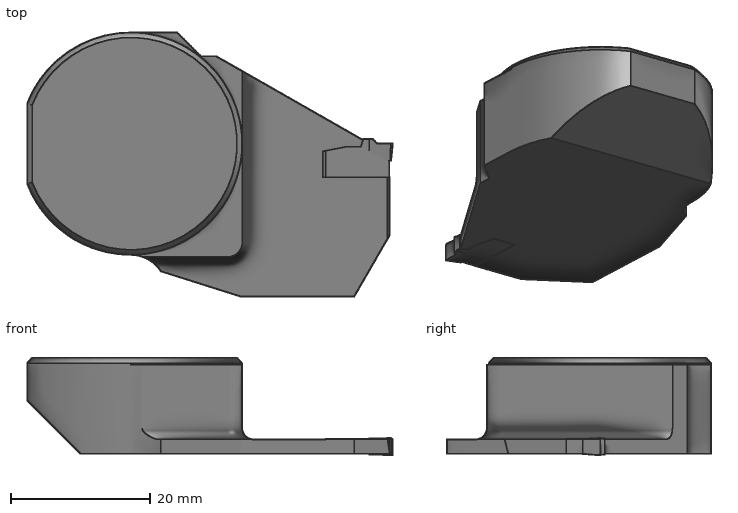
import cadquery as cq
import math


boss_radius = 16.0
holder_height = 13.85
rim_chamfer_width = 0.75
rim_chamfer_height = 0.8
flat_x = -14.95
relief_size = 7.7

block_height = 12.85
block_front_y = -16.25
block_corner_radius = 2.0
root_fillet_radius = 1.6

blade_thickness = 2.1
blade_end_x = 37.2
blade_end_lean = 0.3
blade_front_y = -22.0
end_corner_angle = 60
back_slope_angle = 29.7
blade_front_left_x = 15.8
blade_front_right_x = 32.1
end_corner_run = blade_end_x - blade_front_right_x
blade_end_corner_y = blade_front_y + end_corner_run * math.tan(math.radians(end_corner_angle))
neck_x = 4.3
neck_y = -18.35
shoulder_x = 6.65
step_y = 12.55
step_x = shoulder_x + boss_radius - step_y
slope_start_x = 12.25
slope_end_y = step_y - (blade_end_x - slope_start_x) * math.tan(math.radians(back_slope_angle))

insert_rise = 0.05
tip_rise = 0.2
insert_back_x = 27.55
insert_front_y = -4.85
insert_end_x = 37.15
back_bevel_width = 0.4
back_bevel_depth = 0.4
insert_back_y = -1.1
waist_x = 30.75
waist_y = -0.45
nub_root_x = 33.05
nub_left_x = 33.4
overall_length = 52.6
tip_x = overall_length + flat_x
tip_y = 0.05
nub_y = 0.7
tip_back_x = 34.25
rake_start_y = -0.95
rake_end_x = 37.05
edge_end_x = 37.4
edge_end_y = -2.45
land_width = 0.35
land_drop = 0.2
nub_right_x = 34.75
nub_foot_x = 35.35


def rim_boss():
    """Chamfered cylinder, cut flat on its -X side."""
    profile = [
        (0, 0),
        (boss_radius, 0),
        (boss_radius, holder_height - rim_chamfer_height),
        (boss_radius - rim_chamfer_width, holder_height),
        (0, holder_height),
    ]
    boss = cq.Workplane("XZ").polyline(profile).close().revolve(360, (0, 0), (0, 1))
    cut_size = 2 * boss_radius
    flat_cut = cq.Workplane("XY").box(cut_size, cut_size, holder_height, centered=(True, True, False))
    boss = boss.cut(flat_cut.translate((flat_x - cut_size / 2, 0, 0)))
    rim_edge = cq.Workplane("XZ", origin=(0, boss_radius, 0)).polyline([
        (flat_x, holder_height - rim_chamfer_height),
        (flat_x, holder_height),
        (flat_x + rim_chamfer_width, holder_height),
    ]).close().extrude(cut_size)
    return boss.cut(rim_edge)


def holder_plan(height):
    """Plan outline to the right of the boss axis, extruded up from the underside."""
    drop = -boss_radius - neck_y
    neck_radius = (neck_x**2 + drop**2) / (2 * drop)
    half_sweep = math.asin(neck_x / neck_radius) / 2
    arc_middle = (
        neck_radius * math.sin(half_sweep),
        -boss_radius - neck_radius * (1 - math.cos(half_sweep)),
    )
    return (
        cq.Workplane("XY")
        .moveTo(0, -boss_radius)
        .threePointArc(arc_middle, (neck_x, neck_y))
        .lineTo(blade_front_left_x, blade_front_y)
        .lineTo(blade_front_right_x, blade_front_y)
        .lineTo(blade_end_x, blade_end_corner_y)
        .lineTo(blade_end_x, slope_end_y)
        .lineTo(slope_start_x, step_y)
        .lineTo(step_x, step_y)
        .lineTo(shoulder_x, boss_radius)
        .lineTo(0, boss_radius)
        .close()
        .extrude(height)
    )


def block_and_blade():
    """Tall block and thin blade joined by a root fillet, trimmed to the plan outline."""
    blade_top = cq.Workplane("XY", origin=(0, 0, blade_thickness))
    stock_size = 4 * blade_end_x
    blade = cq.Workplane("XY").rect(stock_size, stock_size).extrude(blade_thickness)
    block_length = 2 * boss_radius
    block = blade_top.box(
        block_length, block_length - block_front_y, block_height - blade_thickness, centered=False
    ).translate((boss_radius - block_length, block_front_y, 0))
    block = block.edges("|Z and >X and <Y").fillet(block_corner_radius)
    root_band = cq.selectors.BoxSelector(
        (-block_length, -block_length, blade_thickness / 2),
        (block_length, block_length, blade_thickness + root_fillet_radius),
    )
    joined = blade.union(block).edges(root_band).fillet(root_fillet_radius)
    return joined.intersect(holder_plan(block_height))


def make_holder():
    """Boss, block and blade as one body, with the insert seat cut through."""
    holder = block_and_blade().union(rim_boss())
    relief = cq.Workplane("XZ", origin=(0, boss_radius, 0)).polyline([
        (flat_x, 0),
        (flat_x, relief_size),
        (flat_x + relief_size, 0),
    ]).close().extrude(2 * boss_radius)
    end_lean = cq.Workplane("XZ", origin=(0, nub_y, 0)).polyline([
        (blade_end_x, 0),
        (blade_end_x - blade_end_lean, blade_thickness),
        (blade_end_x, blade_thickness),
    ]).close().extrude(nub_y - blade_front_y)
    seat = cq.Workplane("XY").polyline(insert_outline(tip_x)).close().extrude(blade_thickness)
    return holder.cut(relief).cut(end_lean).cut(seat)


def insert_outline(end_x):
    """Plan of the insert body, reaching to end_x on the +X side."""
    return [
        (insert_back_x, insert_front_y),
        (insert_back_x, insert_back_y),
        (waist_x, waist_y),
        (nub_root_x, waist_y),
        (nub_left_x, nub_y),
        (nub_right_x, nub_y),
        (nub_foot_x, tip_y),
        (end_x, tip_y),
        (end_x, insert_front_y),
    ]


def rake_wedge():
    """Bar along the rake line, widening from the body faces to the tip corner above and below."""
    along_x = rake_end_x - tip_back_x
    along_y = edge_end_y - rake_start_y
    rake_length = math.hypot(along_x, along_y)
    rise_run = (along_x * (tip_y - rake_start_y) - along_y * (tip_x - tip_back_x)) / rake_length
    plane = cq.Plane(
        origin=(tip_back_x - along_x, rake_start_y - along_y, 0),
        xDir=(-along_y, along_x, 0),
        normal=(along_x, along_y, 0),
    )
    return cq.Workplane(plane).polyline([
        (0, blade_thickness + insert_rise),
        (rise_run, blade_thickness + tip_rise),
        (rise_run, -tip_rise),
        (0, 0),
    ]).close().extrude(3 * rake_length)


def land_bevel():
    """Sliver removed from the top of the tip, parallel to its end face."""
    along_x = edge_end_x - tip_x
    along_y = edge_end_y - tip_y
    edge_length = math.hypot(along_x, along_y)
    plane = cq.Plane(
        origin=(tip_x - along_x, tip_y - along_y, blade_thickness + tip_rise),
        xDir=(along_y, -along_x, 0),
        normal=(-along_x, -along_y, 0),
    )
    bevel = cq.Workplane(plane).polyline([
        (0, -land_drop),
        (land_width, 0),
        (0, tip_rise),
    ]).close()
    return bevel.extrude(-3 * edge_length)


def make_insert():
    """Insert body with a bevelled back end and a raised cutting tip."""
    body = (
        cq.Workplane("XY")
        .polyline(insert_outline(insert_end_x))
        .close()
        .extrude(blade_thickness + insert_rise)
    )
    body_top = blade_thickness + insert_rise
    bevel = cq.Workplane("XZ", origin=(0, nub_y, 0)).polyline([
        (insert_back_x, body_top - back_bevel_depth),
        (insert_back_x, body_top),
        (insert_back_x + back_bevel_width, body_top),
    ]).close().extrude(nub_y - insert_front_y)
    tip = (
        cq.Workplane("XY", origin=(0, 0, -tip_rise))
        .polyline([
            (tip_back_x, nub_y),
            (nub_right_x, nub_y),
            (nub_foot_x, tip_y),
            (tip_x, tip_y),
            (edge_end_x, edge_end_y),
            (rake_end_x, edge_end_y),
            (tip_back_x, rake_start_y),
        ])
        .close()
        .extrude(blade_thickness + 2 * tip_rise)
        .intersect(rake_wedge())
        .cut(land_bevel())
    )
    return body.cut(bevel).union(tip)


holder = make_holder()
insert = make_insert()
result = cq.Compound.makeCompound([holder.val(), insert.val()])